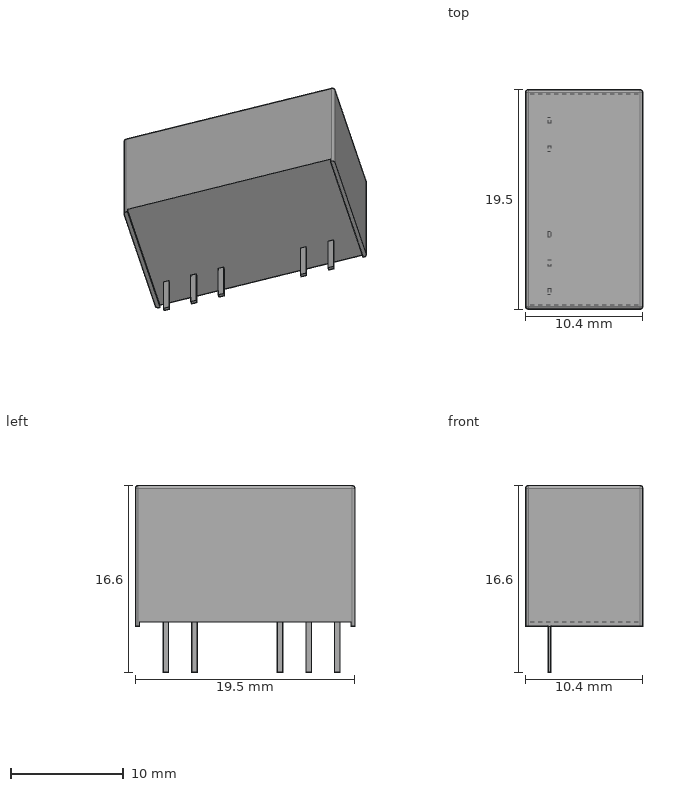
import cadquery as cq

width = 10.41
length = 19.5
total_height = 16.6

pin_reach = 4.1
body_height = total_height - pin_reach
edge_radius = 0.25
foot_length = 0.37
foot_height = 0.37

pin_thickness = 0.25
pin_width = 0.5
pin_pitch = 2.54
pin_row_x = -width / 2 + 2.13
first_pin_y = -8.17
pin_slots = [0, 1, 2, 5, 6]


def make_housing():
    """Block with rounded upright and top edges and a foot across each end."""
    block = (
        cq.Workplane("XY")
        .box(width, length, body_height, centered=(True, True, False))
        .edges("|Z or >Z")
        .fillet(edge_radius)
    )
    gap_between_feet = cq.Workplane("XY").box(
        width, length - 2 * foot_length, foot_height, centered=(True, True, False)
    )
    return block.cut(gap_between_feet)


def make_pins():
    """Straight pins from the housing underside down past the feet."""
    centers = [(pin_row_x, first_pin_y + slot * pin_pitch) for slot in pin_slots]
    return (
        cq.Workplane("XY")
        .workplane(offset=-pin_reach)
        .pushPoints(centers)
        .rect(pin_thickness, pin_width)
        .extrude(pin_reach + foot_height)
    )


result = make_housing().union(make_pins())